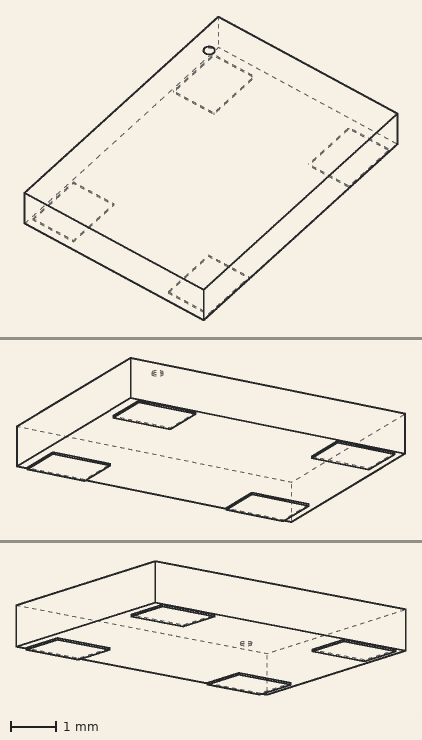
import cadquery as cq

WIDTH = 5.0
LENGTH = 7.01
HEIGHT = 0.99

PAD_WIDTH = 1.13
PAD_LENGTH = 1.46
PAD_THICKNESS = 0.04
PAD_SIDE_INSET = 0.05
PAD_END_INSET = 0.24

DOT_DIAMETER = 0.25
DOT_DEPTH = 0.04
DOT_SIDE_INSET = 0.49
DOT_END_INSET = 0.97

DOT_X = DOT_SIDE_INSET - WIDTH / 2
DOT_Y = LENGTH / 2 - DOT_END_INSET
PAD_X = WIDTH / 2 - PAD_SIDE_INSET - PAD_WIDTH / 2
PAD_Y = LENGTH / 2 - PAD_END_INSET - PAD_LENGTH / 2


def make_dot():
    """Disc that fills the recess in the top of the housing."""
    return (
        cq.Workplane("XY", origin=(DOT_X, DOT_Y, HEIGHT - DOT_DEPTH))
        .circle(DOT_DIAMETER / 2)
        .extrude(DOT_DEPTH)
    )


def make_housing():
    """Plain block above the pads, with a recess for the dot."""
    block = (
        cq.Workplane("XY", origin=(0, 0, PAD_THICKNESS))
        .rect(WIDTH, LENGTH)
        .extrude(HEIGHT - PAD_THICKNESS)
    )
    return block.cut(make_dot())


def make_pad(x, y):
    """Thin rectangular contact pad centred at (x, y)."""
    return (
        cq.Workplane("XY", origin=(x, y, 0))
        .rect(PAD_WIDTH, PAD_LENGTH)
        .extrude(PAD_THICKNESS)
    )


housing = make_housing()
dot = make_dot()
pads = [make_pad(x, y) for x in (-PAD_X, PAD_X) for y in (-PAD_Y, PAD_Y)]

result = cq.Compound.makeCompound([housing.val(), dot.val(), *[pad.val() for pad in pads]])